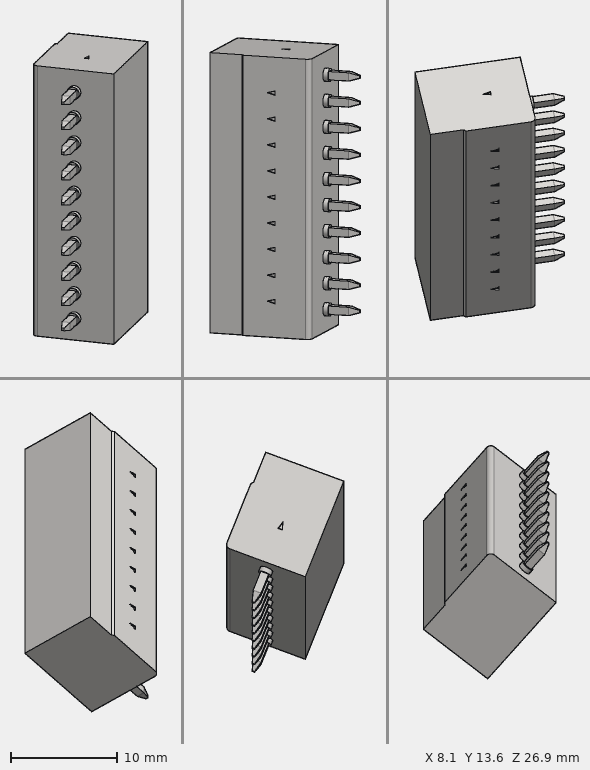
import cadquery as cq

body_width = 8.1
body_depth = 10.1
body_height = 26.9
corner_radius = 0.5
relief_depth = 0.2
relief_length = 3.18
relief_bevel = 0.2

pin_count = 10
pin_pitch = 2.5
pin_x = 4.2
pin_side = 0.8
pin_length = 3.5
tip_length = 1.0
tip_side = 0.25
collar_diameter = 1.25
collar_length = 0.5

mark_length = 0.75
mark_width = 0.4
mark_depth = 0.15
mark_base_y = 3.55

mark_count = pin_count - 1


def row_positions(count):
    """Z positions of evenly pitched features centred on the housing height."""
    first = (body_height - (count - 1) * pin_pitch) / 2
    return [first + i * pin_pitch for i in range(count)]


def make_body():
    """Extrude the housing profile; the -X side is relieved towards the back."""
    relief_y = body_depth - relief_length
    return (
        cq.Workplane("XY")
        .moveTo(corner_radius, 0)
        .lineTo(body_width, 0)
        .lineTo(body_width, body_depth)
        .lineTo(relief_depth, body_depth)
        .lineTo(relief_depth, relief_y)
        .lineTo(0, relief_y - relief_bevel)
        .lineTo(0, corner_radius)
        .radiusArc((corner_radius, 0), -corner_radius)
        .close()
        .extrude(body_height)
    )


def make_pin(z):
    """Round collar, square shank and tapered tip pointing towards -Y."""
    shank_length = pin_length - tip_length
    front_face = cq.Workplane("XZ", origin=(pin_x, 0, z))
    collar = front_face.circle(collar_diameter / 2).extrude(collar_length)
    shank = front_face.rect(pin_side, pin_side).extrude(shank_length)
    tip = (
        front_face.workplane(offset=shank_length)
        .rect(pin_side, pin_side)
        .workplane(offset=tip_length)
        .rect(tip_side, tip_side)
        .loft(ruled=True)
    )
    return collar.union(shank).union(tip)


def make_mark(plane):
    """Triangular cutter whose base is centred on the plane origin."""
    outline = [(-mark_width / 2, 0), (mark_width / 2, 0), (0, mark_length)]
    return cq.Workplane(plane).polyline(outline).close().extrude(-mark_depth)


def make_top_mark():
    return make_mark(cq.Plane(origin=(pin_x, mark_base_y, body_height)))


def make_side_mark(z):
    """Mark on the -X face, halfway between two neighbouring pins."""
    return make_mark(cq.Plane(origin=(0, mark_base_y, z), xDir=(0, 0, 1), normal=(-1, 0, 0)))


result = make_body()
for pin_z in row_positions(pin_count):
    result = result.union(make_pin(pin_z))
result = result.cut(make_top_mark())
for mark_z in row_positions(mark_count):
    result = result.cut(make_side_mark(mark_z))